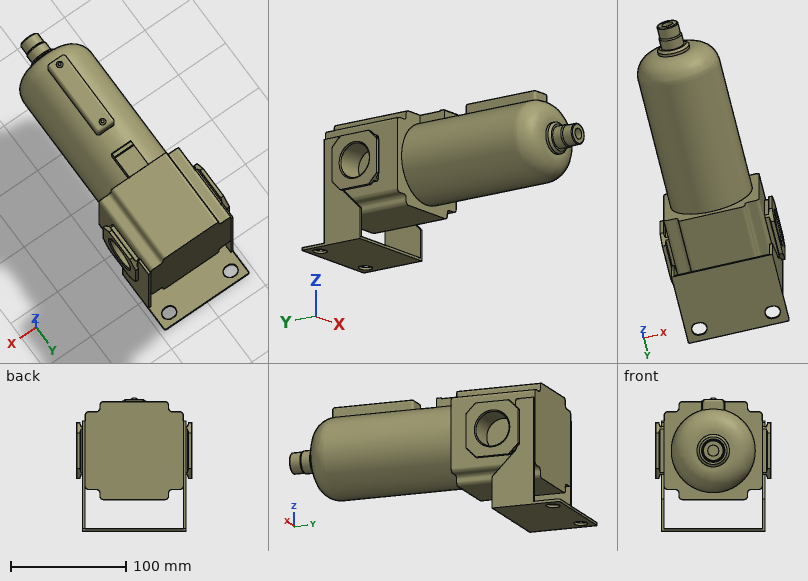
import cadquery as cq
import math

EMBED = 2.7

BODY_LENGTH = 78.0
BODY_HALF = 42.5
STEP_X = 29.8
STEP_Z = 33.8
BODY_ROUND = 3.2

BOWL_RADIUS = 36.5
BOWL_STRAIGHT = 121.0
BOWL_ROUND = 18.4
BOWL_LENGTH = BOWL_STRAIGHT + BOWL_ROUND

COLLAR_RADIUS = 14.0
COLLAR_LENGTH = 4.5
COLLAR_CHAMFER = 2.0
STEM_RADIUS = 10.0
STEM_LENGTH = 8.8
STEM_TAPER = 1.3
TIP_RADIUS = 9.3
TIP_END = 164.0
TIP_CHAMFER = 0.8
DRAIN_RADIUS = 4.8
DRAIN_DEPTH = 10.6

PORT_Y = 41.0
FLANGE_HALF = 24.2
FLANGE_CORNER = 8.8
FLANGE_OUTER_X = 50.0
FLANGE_THICKNESS = 3.2
FLANGE_BEVEL_WIDTH = 2.5
FLANGE_BEVEL_DEPTH = 0.8
NECK_HALF = 20.7
PORT_RADIUS = 15.5
PORT_CHAMFER = 1.0
PORT_DEPTH = 26.5

SHEET = 2.5
BRACKET_HALF = BODY_HALF + SHEET
BRACKET_BOTTOM = -70.0
BRACKET_REAR = 102.0
CHEEK_REAR = 77.5
CHEEK_FRONT = 38.8
CHEEK_TOP = 25.8
CHEEK_TOP_FRONT = 60.6
CHEEK_TOP_CHAMFER = 1.3
CHEEK_SLOPE_END = -42.0
BASE_CORNER = 1.3
SLOT_X = 32.7
SLOT_Y = 91.0
SLOT_LENGTH = 13.3
SLOT_WIDTH = 11.2

LATCH_HALF = 10.0
LATCH_TOP = 42.3
LATCH_LENGTH = 26.5
LATCH_LIP = 5.0
LATCH_LIP_HEIGHT = 0.8
LATCH_BASE = 32.0

COVER_HALF = 9.3
COVER_START = 48.1
COVER_LENGTH = 76.3
COVER_TOP = 44.5
COVER_BASE = 32.0
COVER_CORNER = 2.7
COVER_ROUND = 2.5

SCREW_INSET = 6.0
SCREW_RADIUS = 3.0
SCREW_TOP_RADIUS = 1.3
SCREW_HEIGHT = 1.3


def make_body():
    block = cq.Workplane("XY").box(2 * BODY_HALF, BODY_LENGTH, 2 * STEP_Z)
    tall = cq.Workplane("XY").box(2 * STEP_X, BODY_LENGTH, 2 * BODY_HALF)
    cross = block.union(tall).translate((0, BODY_LENGTH / 2, 0))
    return cross.edges("|Y").fillet(BODY_ROUND)


def make_bowl():
    """Bowl and drain fitting turned as one profile about Y, pointing toward -Y."""
    collar_end = BOWL_LENGTH + COLLAR_LENGTH
    stem_end = collar_end + STEM_LENGTH
    flat_radius = BOWL_RADIUS - BOWL_ROUND
    diagonal = BOWL_ROUND * math.sqrt(0.5)
    profile = (
        cq.Workplane("XY")
        .moveTo(0, EMBED)
        .lineTo(BOWL_RADIUS, EMBED)
        .lineTo(BOWL_RADIUS, -BOWL_STRAIGHT)
        .threePointArc((flat_radius + diagonal, -BOWL_STRAIGHT - diagonal), (flat_radius, -BOWL_LENGTH))
        .lineTo(COLLAR_RADIUS, -BOWL_LENGTH)
        .lineTo(COLLAR_RADIUS, COLLAR_CHAMFER - collar_end)
        .lineTo(COLLAR_RADIUS - COLLAR_CHAMFER, -collar_end)
        .lineTo(STEM_RADIUS, -collar_end)
        .lineTo(STEM_RADIUS, -stem_end)
        .lineTo(TIP_RADIUS, -stem_end - STEM_TAPER)
        .lineTo(TIP_RADIUS, TIP_CHAMFER - TIP_END)
        .lineTo(TIP_RADIUS - TIP_CHAMFER, -TIP_END)
        .lineTo(0, -TIP_END)
        .close()
    )
    bowl = profile.revolve(360, (0, 0, 0), (0, 1, 0))
    return bowl.faces("<Y").workplane(origin=(0, -TIP_END, 0)).circle(DRAIN_RADIUS).cutBlind(-DRAIN_DEPTH)


def square_layer(start_x, end_x, half):
    return cq.Workplane("XY").box(end_x - start_x, 2 * half, 2 * half).translate(((start_x + end_x) / 2, 0, 0))


def make_port():
    """Port flange on the +X side, centred on Y = 0."""
    flange_inner = FLANGE_OUTER_X - FLANGE_THICKNESS
    neck_end = flange_inner - FLANGE_BEVEL_DEPTH
    bevel_side = 2 * (NECK_HALF + FLANGE_BEVEL_WIDTH)
    bevel = (
        cq.Workplane("YZ", origin=(neck_end, 0, 0))
        .rect(2 * NECK_HALF, 2 * NECK_HALF)
        .workplane(offset=FLANGE_BEVEL_DEPTH)
        .rect(bevel_side, bevel_side)
        .loft()
    )
    port = square_layer(BODY_HALF - EMBED, neck_end, NECK_HALF)
    port = port.union(bevel)
    port = port.union(square_layer(flange_inner, FLANGE_OUTER_X, FLANGE_HALF))
    corner_span = math.sqrt(2) * (2 * FLANGE_HALF - FLANGE_CORNER)
    corner_cut = cq.Workplane("XY").box(3 * FLANGE_OUTER_X, corner_span, corner_span)
    return port.intersect(corner_cut.rotate((0, 0, 0), (1, 0, 0), 45))


def make_port_bore():
    bottom_x = FLANGE_OUTER_X - PORT_DEPTH
    bore = cq.Workplane("YZ", origin=(bottom_x, 0, 0)).circle(PORT_RADIUS).extrude(PORT_DEPTH)
    mouth = (
        cq.Workplane("YZ", origin=(FLANGE_OUTER_X - PORT_CHAMFER, 0, 0))
        .circle(PORT_RADIUS)
        .workplane(offset=PORT_CHAMFER)
        .circle(PORT_RADIUS + PORT_CHAMFER)
        .loft()
    )
    return bore.union(mouth)


def both_sides(shape):
    placed = shape.translate((0, PORT_Y, 0))
    return placed.union(placed.mirror("YZ"))


def make_bracket():
    slope_top = CHEEK_SLOPE_END + CHEEK_TOP_FRONT - CHEEK_FRONT
    cheek = (
        cq.Workplane("YZ", origin=(BODY_HALF, 0, 0))
        .moveTo(CHEEK_REAR, BRACKET_BOTTOM)
        .lineTo(CHEEK_REAR, CHEEK_TOP)
        .lineTo(CHEEK_TOP_FRONT + CHEEK_TOP_CHAMFER, CHEEK_TOP)
        .lineTo(CHEEK_TOP_FRONT, CHEEK_TOP - CHEEK_TOP_CHAMFER)
        .lineTo(CHEEK_TOP_FRONT, slope_top)
        .lineTo(CHEEK_FRONT, CHEEK_SLOPE_END)
        .lineTo(CHEEK_FRONT, BRACKET_BOTTOM)
        .close()
        .extrude(SHEET)
    )
    base = (
        cq.Workplane("XY", origin=(0, 0, BRACKET_BOTTOM))
        .center(0, (CHEEK_FRONT + BRACKET_REAR) / 2)
        .rect(2 * BRACKET_HALF, BRACKET_REAR - CHEEK_FRONT)
        .extrude(SHEET)
        .edges("|Z and >Y")
        .fillet(BASE_CORNER)
    )
    slots = (
        cq.Workplane("XY", origin=(0, 0, BRACKET_BOTTOM))
        .pushPoints([(-SLOT_X, SLOT_Y), (SLOT_X, SLOT_Y)])
        .slot2D(SLOT_LENGTH, SLOT_WIDTH)
        .extrude(SHEET)
    )
    return base.cut(slots).union(cheek).union(cheek.mirror("YZ"))


def make_latch():
    lip_top = LATCH_TOP + LATCH_LIP_HEIGHT
    lip_start = LATCH_LIP - LATCH_LENGTH
    return (
        cq.Workplane("YZ", origin=(-LATCH_HALF, 0, 0))
        .moveTo(EMBED, LATCH_BASE)
        .lineTo(EMBED, LATCH_TOP)
        .lineTo(lip_start, LATCH_TOP)
        .lineTo(lip_start - LATCH_LIP_HEIGHT, lip_top)
        .lineTo(LATCH_LIP_HEIGHT - LATCH_LENGTH, lip_top)
        .lineTo(-LATCH_LENGTH, LATCH_TOP)
        .lineTo(-LATCH_LENGTH, LATCH_BASE)
        .close()
        .extrude(2 * LATCH_HALF)
    )


def make_cover():
    middle_y = -COVER_START - COVER_LENGTH / 2
    cover = (
        cq.Workplane("XY", origin=(0, middle_y, COVER_BASE))
        .rect(2 * COVER_HALF, COVER_LENGTH)
        .extrude(COVER_TOP - COVER_BASE)
        .edges("|Z")
        .fillet(COVER_CORNER)
        .faces(">Z")
        .edges()
        .fillet(COVER_ROUND)
    )
    screw_offset = COVER_LENGTH / 2 - SCREW_INSET
    for side in (-1, 1):
        head = (
            cq.Workplane("XY", origin=(0, middle_y + side * screw_offset, COVER_TOP))
            .circle(SCREW_RADIUS)
            .workplane(offset=SCREW_HEIGHT)
            .circle(SCREW_TOP_RADIUS)
            .loft()
        )
        cover = cover.union(head)
    return cover


result = (
    make_body()
    .union(make_bowl())
    .union(make_latch())
    .union(make_cover())
    .union(make_bracket())
    .union(both_sides(make_port()))
    .cut(both_sides(make_port_bore()))
)